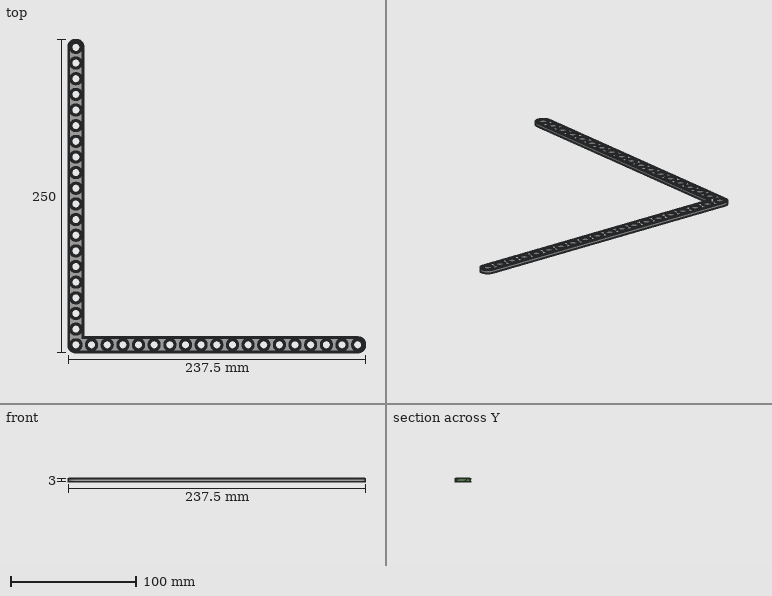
import cadquery as cq

pitch = 12.5
arm_width = pitch
thickness = 3.0
holes_along_x = 19
holes_along_y = 20
bore_diameter = 7.0
seat_diameter = 9.2
ledge_width = 1.05
step_depth = 0.2

span_x = (holes_along_x - 1) * pitch
span_y = (holes_along_y - 1) * pitch
ledge_height = thickness - step_depth
land_width = arm_width - 2 * ledge_width

x_row = [(i * pitch, 0) for i in range(holes_along_x)]
y_row = [(0, i * pitch) for i in range(1, holes_along_y)]
hole_centres = x_row + y_row


def rounded_bar(span, width, height):
    """Flat bar along +X with full-round ends centred on its first and last holes."""
    return cq.Workplane("XY").center(span / 2, 0).slot2D(span + width, width).extrude(height)


def angle_plate(width, height):
    """Two bars at right angles, sharing the rounded corner around the origin."""
    arm_x = rounded_bar(span_x, width, height)
    arm_y = rounded_bar(span_y, width, height).rotate((0, 0, 0), (0, 0, 1), 90)
    return arm_x.union(arm_y)


def hole_cylinders(diameter, bottom):
    """Cylinders at every hole centre, reaching from height bottom to the top face."""
    return (
        cq.Workplane("XY", origin=(0, 0, bottom))
        .pushPoints(hole_centres)
        .circle(diameter / 2)
        .extrude(thickness - bottom)
    )


plate = angle_plate(arm_width, ledge_height).union(angle_plate(land_width, thickness))

bores = hole_cylinders(bore_diameter, 0)
seats = hole_cylinders(seat_diameter, ledge_height)
result = plate.cut(bores).cut(seats)